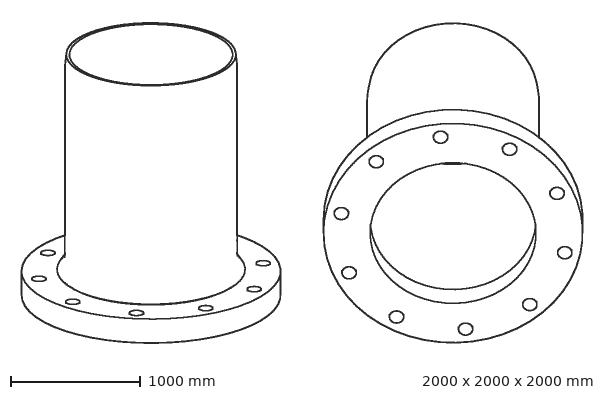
import cadquery as cq
import math

height = 2000.0

flange_diameter = 2000.0
flange_thickness = 200.0
bolt_count = 10
bolt_hole_diameter = 110.0
bolt_circle_diameter = 1760.0

pipe_diameter = 1330.0
bore_diameter = 1280.0
outer_radius = pipe_diameter / 2
bore_radius = bore_diameter / 2
wall = outer_radius - bore_radius
bend_radius = 88.0

flare_mouth_diameter = 1410.0
flare_angle = math.radians(33.5)

taper_length = 95.0
taper_angle = math.radians(6)


def make_flange():
    """Flat ring with a circle of bolt holes and the same bore as the pipe."""
    ring = (
        cq.Workplane("XY")
        .circle(flange_diameter / 2)
        .circle(bore_radius)
        .extrude(flange_thickness)
    )
    bolt_holes = (
        cq.Workplane("XY")
        .polarArray(bolt_circle_diameter / 2, 0, 360, bolt_count)
        .circle(bolt_hole_diameter / 2)
        .extrude(flange_thickness)
    )
    return ring.cut(bolt_holes)


def make_pipe():
    """Revolved wall section; both end faces are square to the sloping wall."""
    mouth_radius = flare_mouth_diameter / 2
    flare_inner = (mouth_radius, flange_thickness)
    flare_outer = (
        mouth_radius + wall * math.cos(flare_angle),
        flange_thickness + wall * math.sin(flare_angle),
    )

    flare_center_radius = outer_radius + bend_radius
    slope_start_radius = flare_center_radius - bend_radius * math.cos(flare_angle)
    slope_height = (flare_outer[0] - slope_start_radius) / math.tan(flare_angle)
    flare_center_z = flare_outer[1] + slope_height + bend_radius * math.sin(flare_angle)

    def flare_bend_point(radius, angle):
        return (
            flare_center_radius - radius * math.cos(angle),
            flare_center_z - radius * math.sin(angle),
        )

    taper_center_radius = bore_radius - bend_radius
    taper_rise = taper_length * math.cos(taper_angle)
    taper_center_z = height - taper_rise - (bend_radius + wall) * math.sin(taper_angle)

    def taper_bend_point(radius, angle):
        return (
            taper_center_radius + radius * math.cos(angle),
            taper_center_z + radius * math.sin(angle),
        )

    def taper_tip(radius):
        start_radius, start_z = taper_bend_point(radius, taper_angle)
        return (start_radius - taper_length * math.sin(taper_angle), start_z + taper_rise)

    inner_bend = bend_radius
    outer_bend = bend_radius + wall
    profile = (
        cq.Workplane("XZ")
        .moveTo(*flare_inner)
        .lineTo(*flare_outer)
        .lineTo(*flare_bend_point(inner_bend, flare_angle))
        .threePointArc(flare_bend_point(inner_bend, flare_angle / 2), flare_bend_point(inner_bend, 0))
        .lineTo(*taper_bend_point(outer_bend, 0))
        .threePointArc(
            taper_bend_point(outer_bend, taper_angle / 2),
            taper_bend_point(outer_bend, taper_angle),
        )
        .lineTo(*taper_tip(outer_bend))
        .lineTo(*taper_tip(inner_bend))
        .lineTo(*taper_bend_point(inner_bend, taper_angle))
        .threePointArc(
            taper_bend_point(inner_bend, taper_angle / 2),
            taper_bend_point(inner_bend, 0),
        )
        .lineTo(*flare_bend_point(outer_bend, 0))
        .threePointArc(
            flare_bend_point(outer_bend, flare_angle / 2),
            flare_bend_point(outer_bend, flare_angle),
        )
        .close()
    )
    return profile.revolve(360, (0, 0, 0), (0, 1, 0))


flange = make_flange()
pipe = make_pipe()

result = cq.Compound.makeCompound([flange.val(), pipe.val()])